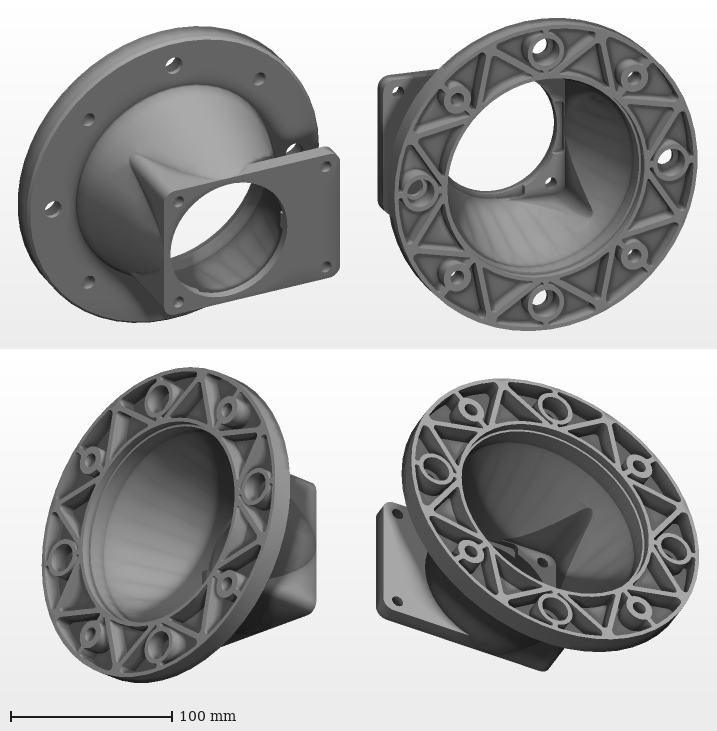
import cadquery as cq
import math

flange_diameter = 200
flange_radius = flange_diameter / 2
flange_thickness = 15.0
flange_chamfer = 1.5

total_length = 95.0
cone_base_diameter = 134
cone_end_diameter = 88.8
cone_start = 16.5
cone_slope = (cone_base_diameter - cone_end_diameter) / 2 / (total_length - cone_start)
bore_cone_start = 17.5
bore_diameter = 127.0
register_diameter = 130
register_depth = 5.5

plate_thickness = 10
plate_height = cone_end_diameter
plate_near_edge = -cone_end_diameter / 2
plate_far_edge = 76.2
plate_corner_radius = 7.5
plate_front = total_length - plate_thickness
plate_opening_diameter = 80
plate_hole_diameter = 7.5
plate_hole_spacing_y = 100.8
plate_hole_spacing_z = 72
box_wall = 0.5

recess_depth = 4
recess_half_width = 43.2
recess_corner_radius = 3.0
recess_floor = plate_front + recess_depth
pad_start = 17.2
tab_width = 10.5

pocket_depth = 12
pocket_inner_radius = 67.5
pocket_outer_radius = 97.5
boss_circle_radius = 82.5
boss_count = 8
boss_step = 360 / boss_count

rib_width = 3.5
rib_root_radius = 64.5
rib_tip_radius = 96
node_inner_radius = 93.0
node_width = 8

node_angle_range = 5
corner_radii = {"node": 2.5, "outer": 1.5, "inner": 1.0}

large_boss_diameter = 24
large_hole_diameter = 11.5
counterbore_diameter = 18
counterbore_depth = pocket_depth
small_boss_diameter = 18
small_hole_diameter = 9.0


def cylinder(diameter, start, end, y=0, z=0):
    """Cylinder along X between two x positions."""
    return cq.Workplane("YZ", origin=(start, y, z)).circle(diameter / 2).extrude(end - start)


def block(start, end, y_min, y_max, height):
    """Box between two x positions and two y positions, centred on z = 0."""
    body = cq.Workplane("XY").box(end - start, y_max - y_min, height, centered=(False, False, True))
    return body.translate((start, y_min, 0))


def near_corners_rounded(body, radius):
    """The body with the two X-direction edges on its -Y side filleted."""
    return body.edges("|X and <Y").fillet(radius)


def polar(radius, angle):
    """Point (y, z) at an angle measured from +Y toward +Z."""
    turn = math.radians(angle)
    return radius * math.cos(turn), radius * math.sin(turn)


def rib(first, second, width):
    """Straight rib of pocket depth between two (y, z) points."""
    dy = second[0] - first[0]
    dz = second[1] - first[1]
    bar = cq.Workplane("YZ").rect(math.hypot(dy, dz), width).extrude(pocket_depth)
    bar = bar.rotate((0, 0, 0), (1, 0, 0), math.degrees(math.atan2(dz, dy)))
    return bar.translate((0, (first[0] + second[0]) / 2, (first[1] + second[1]) / 2))


def corner_group(edge):
    """Place of a pocket corner: inside the boss circle, beside a rib node, or elsewhere outside."""
    center = edge.Center()
    if math.hypot(center.y, center.z) < boss_circle_radius:
        return "inner"
    angle_past_boss = math.degrees(math.atan2(center.z, center.y)) % boss_step
    if abs(angle_past_boss - boss_step / 2) < node_angle_range:
        return "node"
    return "outer"


def flange_pockets():
    """Material removed from the front of the flange between its ribs and bosses."""
    pockets = cylinder(2 * pocket_outer_radius, 0, pocket_depth)
    pockets = pockets.cut(cylinder(2 * pocket_inner_radius, 0, pocket_depth))
    for index in range(boss_count):
        angle = index * boss_step
        boss_diameter = small_boss_diameter if index % 2 else large_boss_diameter
        y, z = polar(boss_circle_radius, angle)
        root = polar(rib_root_radius, angle)
        pockets = pockets.cut(cylinder(boss_diameter, 0, pocket_depth, y, z))
        pockets = pockets.cut(rib(root, polar(flange_radius, angle), rib_width))
        for node_angle in (angle - boss_step / 2, angle + boss_step / 2):
            pockets = pockets.cut(rib(root, polar(rib_tip_radius, node_angle), rib_width))
        node_start = polar(node_inner_radius, node_angle)
        pockets = pockets.cut(rib(node_start, polar(flange_radius, node_angle), node_width))
    for group, radius in corner_radii.items():
        group_corners = [edge for edge in pockets.edges("|X").vals() if corner_group(edge) == group]
        pockets = pockets.newObject(group_corners).fillet(radius)
    return pockets


def cone(base_diameter, start, end):
    """Solid of revolution from x = 0: a cylinder up to the start, then a cone up to the end."""
    base_radius = base_diameter / 2
    end_radius = base_radius - (end - start) * cone_slope
    outline = [(0, 0), (0, base_radius), (start, base_radius), (end, end_radius), (end, 0)]
    return cq.Workplane("XY").polyline(outline).close().revolve(360, (0, 0, 0), (1, 0, 0))


def mounting_plate():
    """Rounded rectangular plate at the +X end."""
    plate = block(plate_front, total_length, plate_near_edge, plate_far_edge, plate_height)
    return plate.edges("|X").fillet(plate_corner_radius)


def box_body(wall):
    """Box from the flange front to the plate over its -Y half, set in by a wall."""
    body = block(0, plate_front, plate_near_edge + wall, 0, plate_height - 2 * wall)
    return near_corners_rounded(body, plate_corner_radius - wall)


def floor_recess():
    """Bore with its recess in the plate floor, leaving the two corner pads and the tab."""
    across = block(plate_front, recess_floor, -pad_start, 0, 2 * recess_half_width)
    toward_edge = block(plate_front, recess_floor, -recess_half_width, 0, 2 * pad_start)
    pads = block(plate_front, recess_floor, plate_near_edge, -pad_start, plate_height)
    pads = pads.cut(block(plate_front, recess_floor, plate_near_edge, -pad_start, 2 * pad_start))
    tab = block(plate_front, recess_floor, 0, plate_height / 2, tab_width)
    recess = cone(bore_diameter, bore_cone_start, recess_floor).cut(pads).cut(tab)
    for arm in (toward_edge, across):
        recess = recess.union(near_corners_rounded(arm, recess_corner_radius))
    return recess


flange = cylinder(flange_diameter, 0, flange_thickness).faces(">X").chamfer(flange_chamfer)
flange = flange.cut(flange_pockets())
outer_cone = cone(cone_base_diameter, cone_start, total_length)
result = flange.union(outer_cone).union(box_body(wall=0)).union(mounting_plate())

result = result.cut(floor_recess()).cut(box_body(box_wall))
result = result.cut(cylinder(register_diameter, 0, register_depth))
result = result.cut(cylinder(plate_opening_diameter, 0, total_length))

for index in range(boss_count):
    y, z = polar(boss_circle_radius, index * boss_step)
    if index % 2:
        result = result.cut(cylinder(small_hole_diameter, 0, flange_thickness, y, z))
    else:
        result = result.cut(cylinder(large_hole_diameter, 0, flange_thickness, y, z))
        result = result.cut(cylinder(counterbore_diameter, 0, counterbore_depth, y, z))

plate_center = (plate_near_edge + plate_far_edge) / 2
for y_side in (-1, 1):
    for z_side in (-1, 1):
        y = plate_center + y_side * plate_hole_spacing_y / 2
        z = z_side * plate_hole_spacing_z / 2
        result = result.cut(cylinder(plate_hole_diameter, plate_front, total_length, y, z))